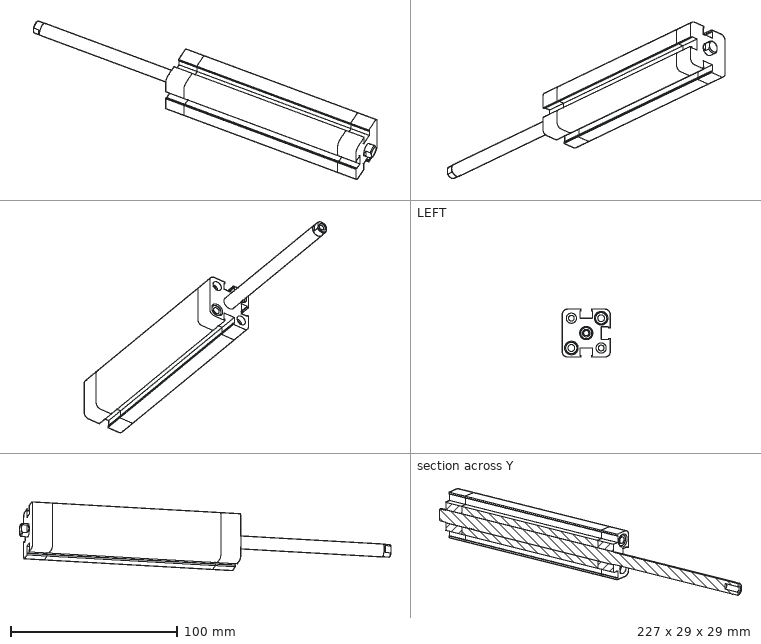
import cadquery as cq

total_length = 227.0
body_side = 29.0
body_length = 127.8
cap_length = 12.3
corner_radius = 3.5

slot_opening = 6.4
slot_inner_width = 7.5
slot_depth = 5.5
slot_lip = 1.1

rod_diameter = 8.0
neck_diameter = 7.7
front_reach = 94.5
rear_reach = total_length - body_length - front_reach
flat_length = 3.6
across_flats = 6.4
rod_rear_chamfer = 0.7
rod_front_chamfer = 0.5
neck_length = 4.5
rod_hole_radius = 1.5
rod_hole_depth = 10.0
rod_countersink = 0.7

hole_spacing = 18.0
small_counterbore_diameter = 6.1
small_counterbore_depth = 3.6
small_bore_radius = 1.7
large_counterbore_radius = 3.5
large_counterbore_depth = 1.0
large_bore_radius = 2.0
large_chamfer = 0.7

half_side = body_side / 2
rod_radius = rod_diameter / 2
neck_radius = neck_diameter / 2
small_counterbore_radius = small_counterbore_diameter / 2
tube_length = body_length - 2 * cap_length


def cylinder_along_x(x, y, z, radius, length):
    return cq.Workplane("YZ", origin=(x, y, z)).circle(radius).extrude(length)


def slot_cutter(x, length):
    """Slot with a narrow mouth and wider floor, open through the +Z side."""
    floor = half_side - slot_depth
    lip = cq.Workplane("XY").box(length, slot_opening, slot_depth, centered=(False, True, False))
    cavity = cq.Workplane("XY").box(
        length, slot_inner_width, slot_depth - slot_lip, centered=(False, True, False)
    )
    return lip.union(cavity).translate((x, 0, floor))


def body_section(x, length):
    """Rounded square length of profile with three slots and a bore for the rod."""
    section = cq.Workplane("YZ", origin=(x, 0, 0)).rect(body_side, body_side).extrude(length)
    section = section.edges("|X").fillet(corner_radius)
    for angle in (0, 90, 180):
        section = section.cut(slot_cutter(x, length).rotate((0, 0, 0), (1, 0, 0), angle))
    return section.cut(cylinder_along_x(x, 0, 0, rod_radius, length))


def countersink_cutter(x, y, z, radius, width):
    """45 degree cone of the given width that opens a hole of the given radius towards -X."""
    return cq.Workplane(
        cq.Solid.makeCone(radius + width, radius, width, pnt=cq.Vector(x, y, z), dir=cq.Vector(1, 0, 0))
    )


def make_front_cap():
    """Cap with counterbored holes on one diagonal and wider, shallow chamfered ones on the other."""
    cap = body_section(0, cap_length)
    offset = hole_spacing / 2
    for side in (1, -1):
        y = side * offset
        cap = cap.cut(cylinder_along_x(0, y, y, small_counterbore_radius, small_counterbore_depth))
        cap = cap.cut(cylinder_along_x(0, y, y, small_bore_radius, cap_length))
        cap = cap.cut(countersink_cutter(0, y, -y, large_counterbore_radius, large_chamfer))
        cap = cap.cut(cylinder_along_x(0, y, -y, large_counterbore_radius, large_counterbore_depth))
        cap = cap.cut(cylinder_along_x(0, y, -y, large_bore_radius, cap_length))
    return cap


def flat_cutter(end_x, inward):
    """Both wrench flats at one rod end, each running out along a 45 degree slope."""
    near = across_flats / 2
    far = 2 * rod_radius
    cutters = cq.Workplane("XY")
    for side in (1, -1):
        cutter = (
            cq.Workplane("XY", origin=(0, 0, -rod_radius))
            .moveTo(end_x, side * near)
            .lineTo(end_x + inward * flat_length, side * near)
            .lineTo(end_x + inward * (flat_length + far - near), side * far)
            .lineTo(end_x, side * far)
            .close()
            .extrude(2 * rod_radius)
        )
        cutters = cutters.add(cutter)
    return cutters.combine()


def make_rod():
    """Through rod with a stepped-down front neck, wrench flats at both ends and a front hole."""
    front_x = -front_reach
    rear_x = body_length + rear_reach
    neck_x = front_x + neck_length
    rod = (
        cq.Workplane("XZ")
        .moveTo(front_x, 0)
        .lineTo(front_x, neck_radius - rod_front_chamfer)
        .lineTo(front_x + rod_front_chamfer, neck_radius)
        .lineTo(neck_x, neck_radius)
        .lineTo(neck_x, rod_radius)
        .lineTo(rear_x - rod_rear_chamfer, rod_radius)
        .lineTo(rear_x, rod_radius - rod_rear_chamfer)
        .lineTo(rear_x, 0)
        .close()
        .revolve(360, (0, 0, 0), (1, 0, 0))
    )
    rod = rod.cut(flat_cutter(front_x, 1)).cut(flat_cutter(rear_x, -1))
    rod = rod.cut(cylinder_along_x(front_x, 0, 0, rod_hole_radius, rod_hole_depth))
    return rod.cut(countersink_cutter(front_x, 0, 0, rod_hole_radius, rod_countersink))


front_cap = make_front_cap()
tube = body_section(cap_length, tube_length)
rear_cap = body_section(cap_length + tube_length, cap_length)
rod = make_rod()

result = cq.Compound.makeCompound([front_cap.val(), tube.val(), rear_cap.val(), rod.val()])